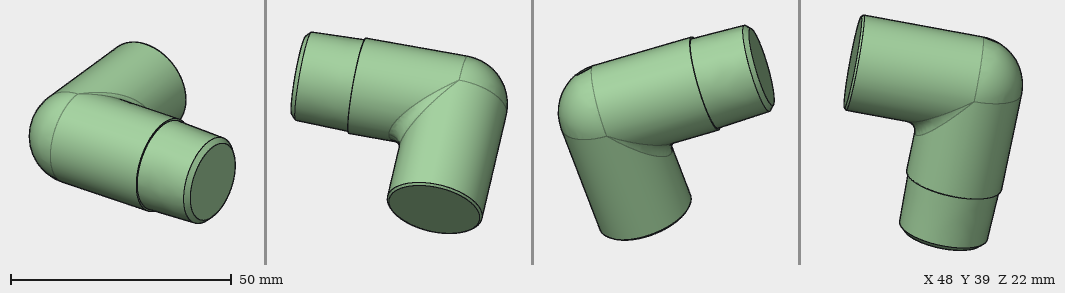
import cadquery as cq

body_radius = 11.0
inner_corner_fillet = 3.0

plain_leg_length = 28.0
plain_end_chamfer = 0.5

tapered_leg_length = 37.0
spigot_length = 13.5
shoulder_position = tapered_leg_length - spigot_length
spigot_root_radius = 10.575
spigot_taper = 1 / 16
spigot_chamfer = 1.1


def make_plain_leg():
    """Cylinder along +Y with its open end edge chamfered."""
    leg = cq.Workplane("XZ").circle(body_radius).extrude(-plain_leg_length)
    return leg.faces(">Y").chamfer(plain_end_chamfer)


def make_elbow():
    """Both legs and the ball, with the inner mitre between the legs rounded."""
    shoulder_leg = cq.Workplane("YZ").circle(body_radius).extrude(shoulder_position)
    corner_ball = cq.Workplane("XY").sphere(body_radius)
    elbow = corner_ball.union(make_plain_leg()).union(shoulder_leg)
    inner_mitre = elbow.edges("%ELLIPSE")
    return inner_mitre.fillet(inner_corner_fillet)


def make_spigot():
    """Tapered spigot revolved about the X axis, with a chamfered tip."""
    chamfer_start = tapered_leg_length - spigot_chamfer
    taper_end_radius = spigot_root_radius - (spigot_length - spigot_chamfer) * spigot_taper / 2
    half_section = [
        (shoulder_position, 0),
        (shoulder_position, spigot_root_radius),
        (chamfer_start, taper_end_radius),
        (tapered_leg_length, taper_end_radius - spigot_chamfer),
        (tapered_leg_length, 0),
    ]
    profile = cq.Workplane("XY").polyline(half_section).close()
    return profile.revolve(360, (0, 0, 0), (1, 0, 0))


result = make_elbow().union(make_spigot())